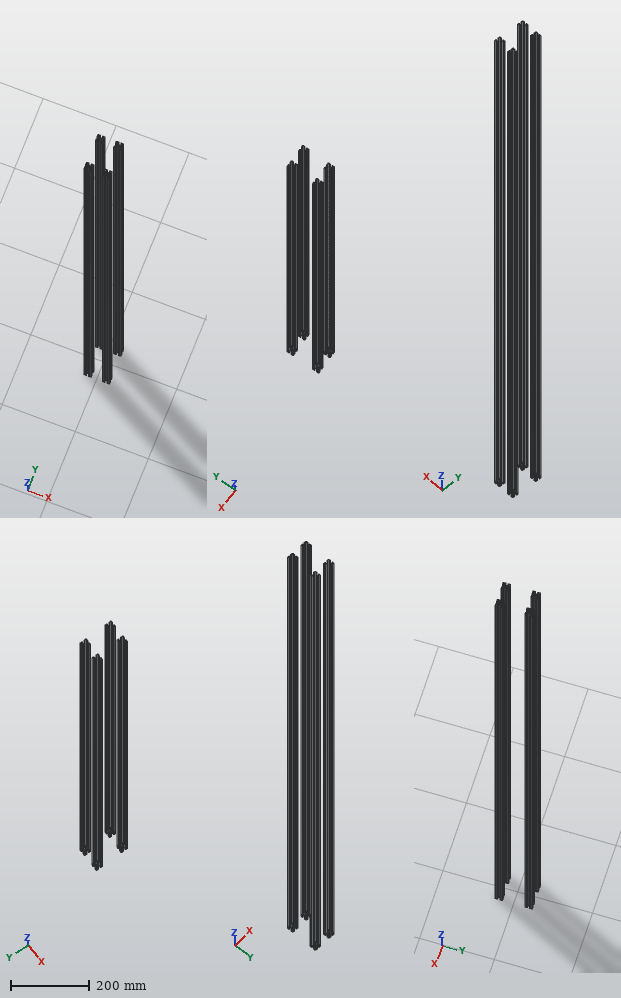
import cadquery as cq

LENGTH = 1750.0
OVERALL_X = 70.0
OVERALL_Y = 100.0

HALF_WIDTH = 10.0
RAIL_WIDTH = 2 * HALF_WIDTH
CORNER_RADIUS = 1.5
BORE_DIAMETER = 4.0

MOUTH_WIDTH = 6.1
CAVITY_WIDTH = 11.0
LIP_THICKNESS = 2.0
TAPER_START_DEPTH = 3.3
SLOT_DEPTH = 6.0
FLOOR_WIDTH = CAVITY_WIDTH - 2 * (SLOT_DEPTH - TAPER_START_DEPTH)
SLOTS_PER_RAIL = 4

SPACING_X = OVERALL_X - RAIL_WIDTH
SPACING_Y = OVERALL_Y - RAIL_WIDTH


def rail_blank():
    """Square bar with its four long edges rounded."""
    return (
        cq.Workplane("XY")
        .rect(RAIL_WIDTH, RAIL_WIDTH)
        .extrude(LENGTH)
        .edges("|Z")
        .fillet(CORNER_RADIUS)
    )


def slot_cutter():
    """Full-length T-slot in the -Y face: narrow mouth, then a wide cavity tapering to a flat floor."""
    lip_y = LIP_THICKNESS - HALF_WIDTH
    taper_y = TAPER_START_DEPTH - HALF_WIDTH
    floor_y = SLOT_DEPTH - HALF_WIDTH
    right_side = [
        (MOUTH_WIDTH / 2, -HALF_WIDTH),
        (MOUTH_WIDTH / 2, lip_y),
        (CAVITY_WIDTH / 2, lip_y),
        (CAVITY_WIDTH / 2, taper_y),
        (FLOOR_WIDTH / 2, floor_y),
    ]
    left_side = [(-x, y) for x, y in reversed(right_side)]
    return cq.Workplane("XY").polyline(right_side + left_side).close().extrude(LENGTH)


def bore_cutter():
    """Round bore along the rail axis."""
    return cq.Workplane("XY").circle(BORE_DIAMETER / 2).extrude(LENGTH)


def make_rail():
    """One rail standing on the Z axis: a T-slot in each side around a central through bore."""
    rail = rail_blank().cut(bore_cutter())
    slot = slot_cutter()
    for index in range(SLOTS_PER_RAIL):
        turn = index * 360 / SLOTS_PER_RAIL
        rail = rail.cut(slot.rotate((0, 0, 0), (0, 0, 1), turn))
    return rail


rail = make_rail()
rails = [
    rail.translate((side_x * SPACING_X / 2, side_y * SPACING_Y / 2, 0)).val()
    for side_x in (-1, 1)
    for side_y in (-1, 1)
]

result = cq.Compound.makeCompound(rails)